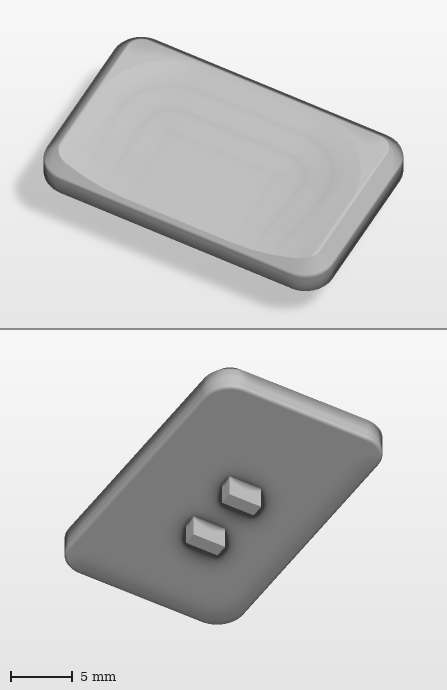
import cadquery as cq
import math

length = 26.25
width = 16.5
plate_height = 3.23
corner_radius = 2.5
top_chamfer = 1.2
edge_radius = 0.3
selection_margin = 0.03

dish_half_flat = 4.85
dish_run = 6.85
dish_depth = 0.85
dish_arc_radius = (dish_run**2 + dish_depth**2) / (2 * dish_depth)
dish_floor = plate_height - dish_depth
cutter_top = plate_height + 0.25
cutter_length = width

leg_height = 1.97
leg_thickness = 1.2
leg_width = 3.0
leg_spacing = 5.7
leg_overlap = 0.25


def make_plate():
    plate = cq.Workplane("XY").box(length, width, plate_height, centered=(True, True, False))
    plate = plate.edges("|Z").fillet(corner_radius)
    plate = plate.faces(">Z").chamfer(top_chamfer)
    top_edges = plate.faces(">Z").edges()
    bevel_bottom = plate_height - top_chamfer
    bevel_base = plate.edges(cq.selectors.BoxSelector(
        (-length, -width, bevel_bottom - selection_margin),
        (length, width, bevel_bottom + selection_margin),
    ))
    plate = plate.newObject(top_edges.vals() + bevel_base.vals()).fillet(edge_radius)
    return plate.faces("<Z").edges().fillet(edge_radius)


def dish_edge_profile(plane, origin):
    """Section of the rising dish edge, from the flat floor to the rounded rim."""
    arc_center_height = dish_floor + dish_arc_radius
    rim_center_height = plate_height - edge_radius
    center_distance = dish_arc_radius + edge_radius
    rim_run = math.sqrt(center_distance**2 - (arc_center_height - rim_center_height)**2)
    rim_angle = math.asin(rim_run / center_distance)

    def arc_point(angle):
        return (
            dish_arc_radius * math.sin(angle),
            arc_center_height - dish_arc_radius * math.cos(angle),
        )

    def rim_point(angle):
        return (
            rim_run - edge_radius * math.sin(angle),
            rim_center_height + edge_radius * math.cos(angle),
        )

    return (
        cq.Workplane(plane, origin=origin)
        .moveTo(0, dish_floor)
        .threePointArc(arc_point(rim_angle / 2), arc_point(rim_angle))
        .threePointArc(rim_point(rim_angle / 2), rim_point(0))
        .lineTo(rim_run, cutter_top)
        .lineTo(0, cutter_top)
        .close()
    )


def make_dish():
    floor_block = cq.Workplane("XY", origin=(0, -cutter_length, dish_floor)).box(
        2 * dish_half_flat, cutter_length, cutter_top - dish_floor, centered=(True, False, False)
    )
    back = dish_edge_profile("YZ", (-dish_half_flat, 0, 0)).extrude(2 * dish_half_flat)
    side = dish_edge_profile("XZ", (dish_half_flat, 0, 0)).extrude(cutter_length)
    corner = dish_edge_profile("XZ", (dish_half_flat, 0, 0)).revolve(90, (0, 0, 0), (0, 1, 0))
    dish = floor_block.union(back)
    for piece in (side, corner):
        dish = dish.union(piece).union(piece.mirror("YZ"))
    return dish


def make_leg(x):
    return (
        cq.Workplane("XY", origin=(x, 0, -leg_height))
        .rect(leg_thickness, leg_width)
        .extrude(leg_height + leg_overlap)
    )


result = make_plate().cut(make_dish())
for side_sign in (-1, 1):
    result = result.union(make_leg(side_sign * leg_spacing / 2))